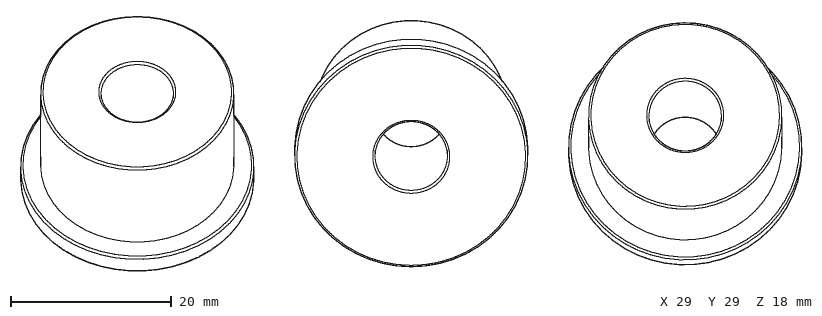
import cadquery as cq

flange_diameter = 29.0
flange_thickness = 3.0
body_diameter = 24.0
total_height = 18.0
bore_diameter = 9.0
edge_chamfer = 0.3

flange = (
    cq.Workplane("XY")
    .circle(flange_diameter / 2)
    .extrude(flange_thickness)
    .edges()
    .chamfer(edge_chamfer)
)

body = (
    cq.Workplane("XY")
    .circle(body_diameter / 2)
    .extrude(total_height)
    .faces(">Z")
    .edges()
    .chamfer(edge_chamfer)
)

bore = cq.Workplane("XY").circle(bore_diameter / 2).extrude(total_height)
bushing = flange.union(body).cut(bore)
bore_rims = cq.selectors.RadiusNthSelector(0)
result = bushing.faces("<Z or >Z").edges(bore_rims).chamfer(edge_chamfer)